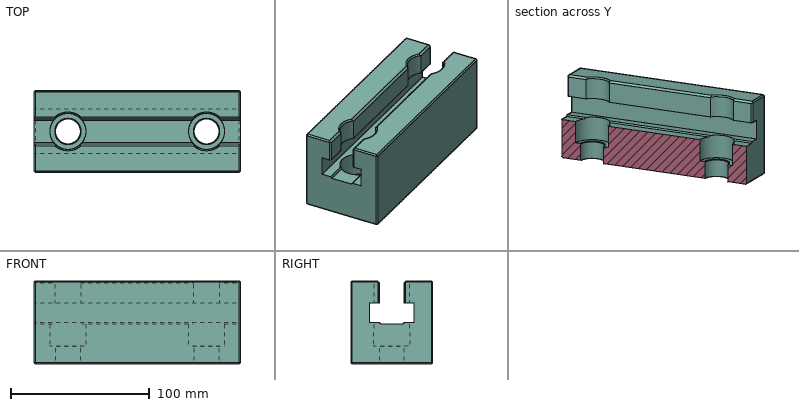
import cadquery as cq

length = 149.0
width = 59.0
height = 60.0
edge_chamfer = 1.0

mouth_width = 18.0
mouth_depth = 16.0
mouth_chamfer = 1.5
channel_width = 32.0
channel_depth = 30.0

relief_floor_width = 16.0
relief_depth = 1.0

bolt_spacing = 100.0
bolt_hole_diameter = 18.0
head_diameter = 26.0
head_chamfer = 1.0
head_depth = 47.0
bolt_hole_chamfer = 0.5

channel_floor_z = height - channel_depth
head_seat_z = height - head_depth
bolt_positions = [(-bolt_spacing / 2, 0), (bolt_spacing / 2, 0)]


def slot(slot_width, depth, slot_height):
    """Box along the full length whose floor lies `depth` below the top face."""
    return (
        cq.Workplane("XY")
        .workplane(offset=height - depth)
        .rect(length, slot_width)
        .extrude(slot_height)
    )


def vertical_bores(diameter, bottom_z, top_z):
    """Cylinders at both bolt positions between two levels."""
    return (
        cq.Workplane("XY")
        .workplane(offset=bottom_z)
        .pushPoints(bolt_positions)
        .circle(diameter / 2)
        .extrude(top_z - bottom_z)
    )


def chamfered_block():
    """Block with its outer edges chamfered."""
    block = cq.Workplane("XY").box(length, width, height, centered=(True, True, False))
    return block.edges().chamfer(edge_chamfer)


def mouth_cutter():
    """Slot mouth that flares at its top edges and at both ends."""
    half_mouth = mouth_width / 2
    half_flare = half_mouth + mouth_chamfer
    half_end = half_mouth + edge_chamfer
    half_length = length / 2
    cutter = slot(mouth_width, mouth_depth, mouth_depth)
    top_flare = (
        cq.Workplane("YZ")
        .workplane(offset=-half_length)
        .polyline(
            [
                (-half_mouth, height - mouth_chamfer),
                (half_mouth, height - mouth_chamfer),
                (half_flare, height),
                (-half_flare, height),
            ]
        )
        .close()
        .extrude(length)
    )
    cutter = cutter.union(top_flare)
    for end in (-1, 1):
        end_flare = (
            cq.Workplane("XY")
            .workplane(offset=height - mouth_depth)
            .polyline(
                [
                    (end * half_length, -half_end),
                    (end * half_length, half_end),
                    (end * (half_length - edge_chamfer), half_mouth),
                    (end * (half_length - edge_chamfer), -half_mouth),
                ]
            )
            .close()
            .extrude(mouth_depth)
        )
        cutter = cutter.union(end_flare)
    return cutter


def relief_groove():
    """Trapezoidal groove below the channel floor."""
    half_floor = relief_floor_width / 2
    half_top = half_floor + relief_depth
    relief_z = channel_floor_z - relief_depth
    return (
        cq.Workplane("YZ")
        .workplane(offset=-length / 2)
        .polyline(
            [
                (-half_floor, relief_z),
                (half_floor, relief_z),
                (half_top, channel_floor_z),
                (-half_top, channel_floor_z),
            ]
        )
        .close()
        .extrude(length)
    )


def flared_rims(diameter, rim_chamfer, top_z):
    """Cones that chamfer the upper rim of a bore at both bolt positions."""
    radius = diameter / 2
    cones = cq.Workplane("XY")
    for x, y in bolt_positions:
        cone = cq.Solid.makeCone(
            radius,
            radius + rim_chamfer,
            rim_chamfer,
            pnt=cq.Vector(x, y, top_z - rim_chamfer),
        )
        cones = cones.add(cone)
    return cones.combine()


result = chamfered_block()
result = result.cut(mouth_cutter())
result = result.cut(slot(channel_width, channel_depth, channel_depth - mouth_depth))
result = result.cut(relief_groove())
result = result.cut(vertical_bores(head_diameter, head_seat_z, height))
result = result.cut(flared_rims(head_diameter, head_chamfer, height))
result = result.cut(vertical_bores(bolt_hole_diameter, 0, head_seat_z))
result = result.cut(flared_rims(bolt_hole_diameter, bolt_hole_chamfer, head_seat_z))